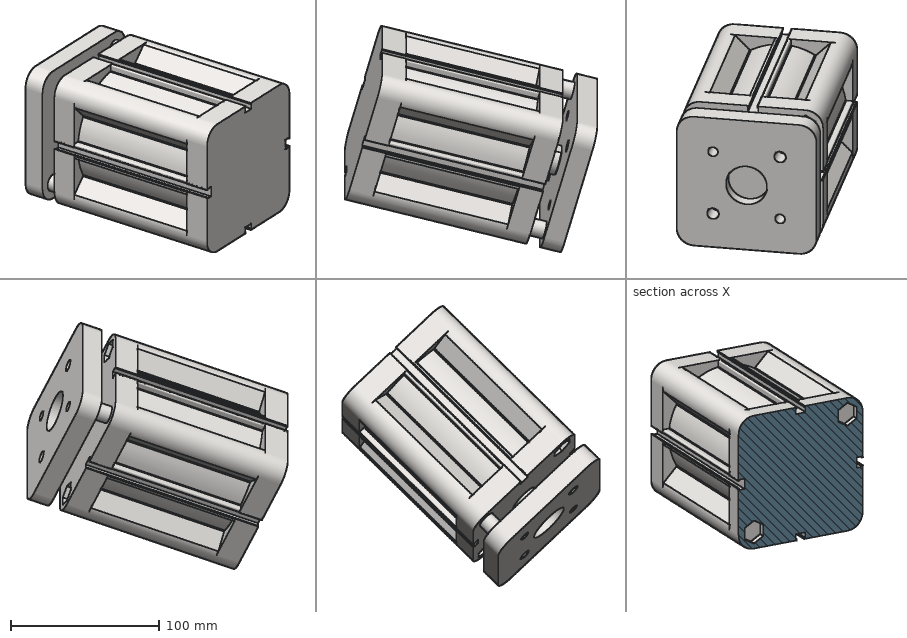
import cadquery as cq
import math

TOTAL_LENGTH = 150.5
SIDE = 96.0
HALF_SIDE = SIDE / 2
CORNER_RADIUS = 12.0
CORNER_CENTRE = HALF_SIDE - CORNER_RADIUS

YOKE_THICKNESS = 14.1
HOUSING_START = 24.1
FRONT_CAP_END = 40.3
REAR_CAP_START = 133.8
STROKE_GAP = HOUSING_START - YOKE_THICKNESS

COUNTERBORE_DIAMETER = 28.1
COUNTERBORE_DEPTH = 9.0
YOKE_HOLE_PITCH = 46.0
THREAD_HOLE_DIAMETER = 6.8
DOWEL_HOLE_DIAMETER = 8.0

PISTON_ROD_DIAMETER = 20.5
WRENCH_FLAT_WIDTH = 17.3
WRENCH_FLAT_LENGTH = 6.6
PISTON_ROD_CHAMFER = 0.5
GUIDE_ROD_DIAMETER = 12.0

CORNER_ARC_OVERSHOOT = math.radians(15)
FLANK_INNER = 22.9
BARREL_EDGE = 21.8
RIB_HALF_WIDTH = 5.5
RIB_FILLET = 1.0
RIB_ROOT_CHAMFER = 0.5

SLOT_MOUTH_WIDTH = 5.7
SLOT_INNER_WIDTH = 7.0
SLOT_LIP = 0.9
SLOT_DEPTH = 4.7
SLOT_CHAMFER = 0.5

SOCKET_ACROSS_FLATS = 14.0
SOCKET_DEPTH = 8.0


def rounded_square(start, end):
    """Square block with rounded long edges between two X stations."""
    return (
        cq.Workplane("YZ", origin=(start, 0, 0))
        .rect(SIDE, SIDE)
        .extrude(end - start)
        .edges("|X")
        .fillet(CORNER_RADIUS)
    )


def cylinder_along_x(diameter, start, length, y=0, z=0):
    return cq.Workplane("YZ", origin=(start, y, z)).circle(diameter / 2).extrude(length)


def make_yoke_plate():
    plate = rounded_square(0, YOKE_THICKNESS)
    plate = plate.cut(cylinder_along_x(COUNTERBORE_DIAMETER, 0, COUNTERBORE_DEPTH))
    offset = YOKE_HOLE_PITCH / 2
    for side in (-1, 1):
        plate = plate.cut(
            cylinder_along_x(THREAD_HOLE_DIAMETER, 0, YOKE_THICKNESS, side * offset, side * offset)
        )
        plate = plate.cut(
            cylinder_along_x(DOWEL_HOLE_DIAMETER, 0, YOKE_THICKNESS, side * offset, -side * offset)
        )
    return plate


def make_side_recess():
    """Material removed from the +Z side on +Y: between corner arc, flank, barrel and rib."""
    arc_y = CORNER_CENTRE - CORNER_RADIUS * math.sin(CORNER_ARC_OVERSHOOT)
    arc_z = CORNER_CENTRE + CORNER_RADIUS * math.cos(CORNER_ARC_OVERSHOOT)
    flank_foot_z = arc_z - (arc_y - FLANK_INNER)
    barrel_radius = math.hypot(BARREL_EDGE, flank_foot_z)
    root_y = RIB_HALF_WIDTH + RIB_ROOT_CHAMFER
    barrel_mid_y = (BARREL_EDGE + root_y) / 2

    def barrel_point(y):
        return (y, math.sqrt(barrel_radius**2 - y**2))

    fillet_centre_y = RIB_HALF_WIDTH - RIB_FILLET
    fillet_centre_z = HALF_SIDE - RIB_FILLET
    fillet_mid = RIB_FILLET * math.sqrt(0.5)
    half_arc = CORNER_ARC_OVERSHOOT / 2
    corner_mid = (
        CORNER_CENTRE - CORNER_RADIUS * math.sin(half_arc),
        CORNER_CENTRE + CORNER_RADIUS * math.cos(half_arc),
    )
    return (
        cq.Workplane("YZ", origin=(FRONT_CAP_END, 0, 0))
        .moveTo(CORNER_CENTRE, HALF_SIDE)
        .threePointArc(corner_mid, (arc_y, arc_z))
        .lineTo(FLANK_INNER, flank_foot_z)
        .lineTo(BARREL_EDGE, flank_foot_z)
        .threePointArc(barrel_point(barrel_mid_y), barrel_point(root_y))
        .lineTo(RIB_HALF_WIDTH, barrel_point(root_y)[1] + RIB_ROOT_CHAMFER)
        .lineTo(RIB_HALF_WIDTH, fillet_centre_z)
        .threePointArc(
            (fillet_centre_y + fillet_mid, fillet_centre_z + fillet_mid),
            (fillet_centre_y, HALF_SIDE),
        )
        .close()
        .extrude(REAR_CAP_START - FRONT_CAP_END)
    )


def make_sensor_slot():
    """Undercut slot in the middle of the +Z side, over the whole housing length."""
    length = TOTAL_LENGTH - HOUSING_START
    mouth = (
        cq.Workplane("YZ", origin=(HOUSING_START, 0, HALF_SIDE - SLOT_DEPTH / 2))
        .rect(SLOT_MOUTH_WIDTH, SLOT_DEPTH)
        .extrude(length)
    )
    inner_depth = SLOT_DEPTH - SLOT_LIP
    inner = (
        cq.Workplane("YZ", origin=(HOUSING_START, 0, HALF_SIDE - SLOT_LIP - inner_depth / 2))
        .rect(SLOT_INNER_WIDTH, inner_depth)
        .extrude(length)
    )
    return mouth.union(inner)


def make_slot_chamfer():
    """Wedge that bevels both mouth edges of the +Z slot between the caps."""
    half_mouth = SLOT_MOUTH_WIDTH / 2
    half_top = half_mouth + SLOT_CHAMFER
    bottom = HALF_SIDE - SLOT_CHAMFER
    return (
        cq.Workplane("YZ", origin=(FRONT_CAP_END, 0, 0))
        .moveTo(-half_mouth, bottom)
        .lineTo(half_mouth, bottom)
        .lineTo(half_top, HALF_SIDE)
        .lineTo(-half_top, HALF_SIDE)
        .close()
        .extrude(REAR_CAP_START - FRONT_CAP_END)
    )


def make_hex_socket(y, z):
    """Hexagon socket with its points up and down."""
    return (
        cq.Workplane("YZ", origin=(HOUSING_START, y, z))
        .polygon(6, SOCKET_ACROSS_FLATS / math.cos(math.radians(30)))
        .extrude(SOCKET_DEPTH)
        .rotate((0, y, z), (1, y, z), 30)
    )


def make_housing():
    housing = rounded_square(HOUSING_START, TOTAL_LENGTH)
    recess = make_side_recess()
    side_cuts = [recess, recess.mirror("XZ"), make_sensor_slot(), make_slot_chamfer()]
    for quarter in range(4):
        for cutter in side_cuts:
            housing = housing.cut(cutter.rotate((0, 0, 0), (1, 0, 0), 90 * quarter))
    for side in (-1, 1):
        housing = housing.cut(make_hex_socket(side * CORNER_CENTRE, -side * CORNER_CENTRE))
    return housing


def make_piston_rod():
    """Round rod between yoke plate and housing, with two wrench flats facing +Y and -Y."""
    rod = cylinder_along_x(PISTON_ROD_DIAMETER, YOKE_THICKNESS, STROKE_GAP)
    rod = rod.faces("<X").chamfer(PISTON_ROD_CHAMFER)
    flat_zone = cq.Workplane("XY").box(
        WRENCH_FLAT_LENGTH, PISTON_ROD_DIAMETER, PISTON_ROD_DIAMETER, centered=(False, True, True)
    )
    kept_core = cq.Workplane("XY").box(
        WRENCH_FLAT_LENGTH, WRENCH_FLAT_WIDTH, PISTON_ROD_DIAMETER, centered=(False, True, True)
    )
    return rod.cut(flat_zone.cut(kept_core).translate((YOKE_THICKNESS, 0, 0)))


def make_guide_rod(y, z):
    return cylinder_along_x(GUIDE_ROD_DIAMETER, YOKE_THICKNESS, STROKE_GAP, y, z)


yoke_plate = make_yoke_plate()
housing = make_housing()
piston_rod = make_piston_rod()
guide_rods = []
for side in (-1, 1):
    guide_rods.append(make_guide_rod(side * CORNER_CENTRE, side * CORNER_CENTRE).val())

result = cq.Compound.makeCompound([yoke_plate.val(), housing.val(), piston_rod.val(), *guide_rods])